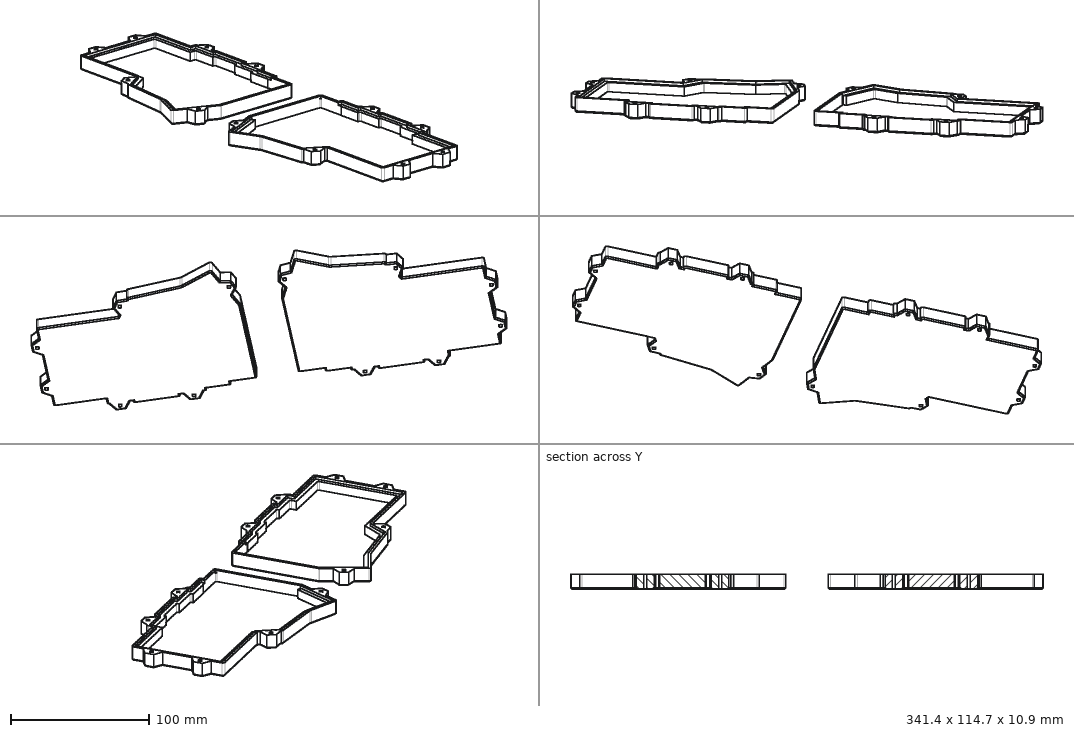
import cadquery as cq
import math

tray_height = 10.85
floor_thickness = 2.0
seat_depth = 2.0
bottom_chamfer = 1.0

rim_width = 2.0
ledge_width = 3.2
corner_radius = 1.5
pocket_radius = 1.0
bend_radius = 5.0

tab_tip_half_width = 3.5
tab_length = 6.4
tab_hole_to_tip = 4.0
tab_flank_angle = 33
tab_root = rim_width / 2
screw_hole_diameter = 2.5
back_tabs_x = (-117.0, -62.8)
left_tabs_y = (28.9, -9.5)
front_tab_distance = 9.7
side_tab_distance = 18.0

left_x = -164.3
right_x = -15.3
back_y = 45.8
front_y = -27.2

step_a_left = -125.9
step_b_left = -107.0
step_b_right = -72.8
step_a_right = -53.0
step_c_right = -34.7
step_c_y = 48.8
step_a_y = 51.0
step_b_y = 53.0

thumb_right = (right_x, -23.4)
thumb_corner = (-30.7, -57.8)
thumb_bend = (-54.6, -47.2)
thumb_left = (-94.6, -43.2)
front_bend = (-104.3, front_y)

outline = [
    (left_x, front_y),
    (left_x, back_y),
    (step_a_left, back_y),
    (step_a_left, step_a_y),
    (step_b_left, step_a_y),
    (step_b_left, step_b_y),
    (step_b_right, step_b_y),
    (step_b_right, step_a_y),
    (step_a_right, step_a_y),
    (step_a_right, step_c_y),
    (step_c_right, step_c_y),
    (step_c_right, back_y),
    (right_x, back_y),
    thumb_right,
    thumb_corner,
    thumb_bend,
    thumb_left,
    front_bend,
]


def inset_prism(inset, bottom_z, radius=0):
    """Outline moved inwards, from bottom_z up to the rim, with outward corners of the given radius."""
    profile = (
        cq.Workplane("XY", origin=(0, 0, bottom_z))
        .polyline(outline)
        .close()
        .offset2D(-inset - radius, "intersection")
    )
    if radius > 0:
        profile = profile.offset2D(radius, "arc")
    return profile.extrude(tray_height - bottom_z)


def outer_block():
    block = inset_prism(0, 0, corner_radius)
    bend_edge = cq.selectors.NearestToPointSelector((*thumb_bend, tray_height / 2))
    return block.edges("|Z").edges(bend_edge).fillet(bend_radius)


def edge_direction(start, end):
    """Outward direction, in degrees, of an edge that runs clockwise round the tray."""
    return math.degrees(math.atan2(end[1] - start[1], end[0] - start[0])) + 90


thumb_side_direction = edge_direction(thumb_right, thumb_corner)
thumb_front_direction = edge_direction(thumb_left, front_bend)


def point_along(start, end, distance):
    share = distance / math.dist(start, end)
    return (start[0] + share * (end[0] - start[0]), start[1] + share * (end[1] - start[1]))


backwards = 90
leftwards = 180
tabs = [
    *[((x, step_a_y), backwards) for x in back_tabs_x],
    *[((left_x, y), leftwards) for y in left_tabs_y],
    (point_along(front_bend, thumb_left, front_tab_distance), thumb_front_direction),
    (point_along(thumb_right, thumb_corner, side_tab_distance), thumb_side_direction),
]


def along_tab(position, direction, distance):
    angle = math.radians(direction)
    return (position[0] + distance * math.cos(angle), position[1] + distance * math.sin(angle))


def tab_block(position, direction):
    """Tapered lug, narrow at the tip, that leaves the wall in the given direction."""
    flare = (tab_length + tab_root) * math.tan(math.radians(tab_flank_angle))
    root_half_width = tab_tip_half_width + flare
    return (
        cq.Workplane("XY")
        .polyline([
            (-tab_root, -root_half_width),
            (tab_length, -tab_tip_half_width),
            (tab_length, tab_tip_half_width),
            (-tab_root, root_half_width),
        ])
        .close()
        .extrude(tray_height)
        .rotate((0, 0, 0), (0, 0, 1), direction)
        .translate((position[0], position[1], 0))
    )


def cavity():
    """Main pocket: inside the ledge, but without a ledge along the right-hand side."""
    ledge_inset = rim_width + ledge_width
    pocket = inset_prism(ledge_inset, floor_thickness, pocket_radius)

    thumb_tilt = -math.radians(thumb_side_direction)
    ledge_end_x = right_x - ledge_inset
    ledge_end_y = thumb_right[1] + ledge_inset * math.tan(thumb_tilt / 2)
    ledge_end_drop = ledge_width * math.tan(thumb_tilt)

    relief_left_x = step_a_right - ledge_inset
    relief_back_y = step_c_y - ledge_inset
    step_x = step_c_right - ledge_inset
    relief_right_x = right_x - rim_width
    relief_corner_y = back_y - rim_width
    relief = (
        cq.Workplane("XY", origin=(0, 0, floor_thickness))
        .polyline([
            (relief_left_x, ledge_end_y),
            (relief_left_x, relief_back_y),
            (step_x, relief_back_y),
            (step_x, relief_corner_y),
            (relief_right_x, relief_corner_y),
            (relief_right_x, ledge_end_y - ledge_end_drop),
            (ledge_end_x, ledge_end_y),
        ])
        .close()
        .extrude(tray_height - floor_thickness)
        .edges("|Z and >X and >Y")
        .fillet(pocket_radius)
        .intersect(inset_prism(rim_width, floor_thickness))
    )
    return pocket.union(relief)


def left_tray():
    tray = outer_block()
    for position, direction in tabs:
        tray = tray.union(tab_block(position, direction))
    tray = tray.faces("<Z").edges().chamfer(bottom_chamfer)
    tray = tray.cut(inset_prism(rim_width, tray_height - seat_depth))
    tray = tray.cut(cavity())
    for position, direction in tabs:
        hole_x, hole_y = along_tab(position, direction, tab_length - tab_hole_to_tip)
        hole = cq.Workplane("XY").center(hole_x, hole_y).circle(screw_hole_diameter / 2)
        tray = tray.cut(hole.extrude(tray_height))
    return tray


left_half = left_tray()
right_half = left_half.mirror("YZ")

result = cq.Compound.makeCompound([left_half.val(), right_half.val()])